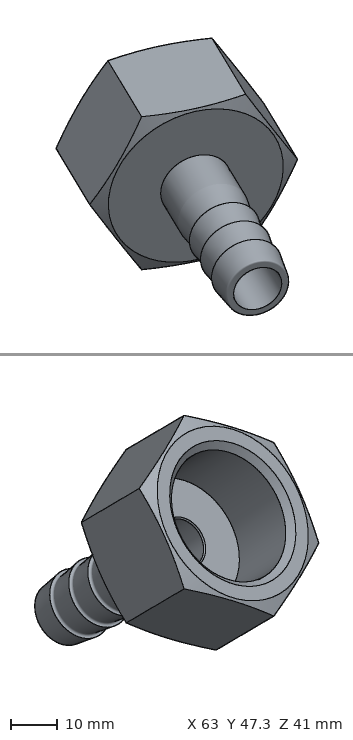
import cadquery as cq
import math


NUT_LENGTH = 24.0
NUT_ACROSS_FLATS = 41.0
NUT_FACE_RADIUS = 19.9
NUT_CHAMFER_ANGLE = 20.0
NUT_BORE_RADIUS = 15.05
NUT_MOUTH_RADIUS = 16.65
NUT_MOUTH_DEPTH = 1.5

TOTAL_LENGTH = 63.0
TAIL_RADIUS = 8.0
TAIL_HOLE_RADIUS = 5.5
TAIL_HOLE_CHAMFER = 0.3
FLANGE_RADIUS = 14.7
FLANGE_FACE_X = 18.0
FLANGE_THICKNESS = 3.15

BARBS_START_X = 35.1
BARB_COUNT = 4
BARB_PITCH = 7.0
BARB_ROOT_RADIUS = 7.2
BARB_FILLET = 0.5
TIP_FILLET = 0.4

NUT_CORNER_RADIUS = NUT_ACROSS_FLATS / math.sqrt(3)

NUT_FLOOR_X = FLANGE_FACE_X + FLANGE_THICKNESS


def revolve_about_x(profile):
    """Revolve a closed profile drawn in the XZ plane about the X axis."""
    return profile.revolve(360, (0, 0, 0), (1, 0, 0))


def make_corner_chamfer_envelope():
    """Round blank whose two conical ends cut the corners of the hexagon."""
    chamfer_length = (NUT_CORNER_RADIUS - NUT_FACE_RADIUS) * math.tan(math.radians(NUT_CHAMFER_ANGLE))
    profile = (
        cq.Workplane("XZ")
        .moveTo(0, 0)
        .lineTo(0, NUT_FACE_RADIUS)
        .lineTo(chamfer_length, NUT_CORNER_RADIUS)
        .lineTo(NUT_LENGTH - chamfer_length, NUT_CORNER_RADIUS)
        .lineTo(NUT_LENGTH, NUT_FACE_RADIUS)
        .lineTo(NUT_LENGTH, 0)
        .close()
    )
    return revolve_about_x(profile)


def make_nut_cavity():
    """Chamfered bore that holds the flange, and the hole for the tail in the end wall."""
    profile = (
        cq.Workplane("XZ")
        .moveTo(0, 0)
        .lineTo(0, NUT_MOUTH_RADIUS)
        .lineTo(NUT_MOUTH_DEPTH, NUT_BORE_RADIUS)
        .lineTo(NUT_FLOOR_X, NUT_BORE_RADIUS)
        .lineTo(NUT_FLOOR_X, TAIL_RADIUS)
        .lineTo(NUT_LENGTH, TAIL_RADIUS)
        .lineTo(NUT_LENGTH, 0)
        .close()
    )
    return revolve_about_x(profile)


def make_nut():
    """Hexagonal nut with two flats facing up and down and corners on the Y axis."""
    hexagon = cq.Workplane("YZ").polygon(6, 2 * NUT_CORNER_RADIUS).extrude(NUT_LENGTH)
    return hexagon.intersect(make_corner_chamfer_envelope()).cut(make_nut_cavity())


def make_tail():
    """Flanged tube with a row of tapered barbs on its free end."""
    profile = (
        cq.Workplane("XZ")
        .moveTo(FLANGE_FACE_X, TAIL_HOLE_RADIUS + TAIL_HOLE_CHAMFER)
        .lineTo(FLANGE_FACE_X, FLANGE_RADIUS)
        .lineTo(NUT_FLOOR_X, FLANGE_RADIUS)
        .lineTo(NUT_FLOOR_X, TAIL_RADIUS)
        .lineTo(BARBS_START_X, TAIL_RADIUS)
    )

    for barb in range(1, BARB_COUNT):
        shoulder_x = BARBS_START_X + barb * BARB_PITCH
        profile = (
            profile
            .lineTo(shoulder_x - BARB_FILLET, BARB_ROOT_RADIUS)
            .radiusArc((shoulder_x, BARB_ROOT_RADIUS + BARB_FILLET), -BARB_FILLET)
            .lineTo(shoulder_x, TAIL_RADIUS)
        )

    profile = (
        profile
        .lineTo(TOTAL_LENGTH - TIP_FILLET, BARB_ROOT_RADIUS)
        .radiusArc((TOTAL_LENGTH, BARB_ROOT_RADIUS - TIP_FILLET), TIP_FILLET)
        .lineTo(TOTAL_LENGTH, TAIL_HOLE_RADIUS)
        .lineTo(FLANGE_FACE_X + TAIL_HOLE_CHAMFER, TAIL_HOLE_RADIUS)
        .close()
    )
    return revolve_about_x(profile)


nut = make_nut()
tail = make_tail()
result = cq.Compound.makeCompound([nut.val(), tail.val()])